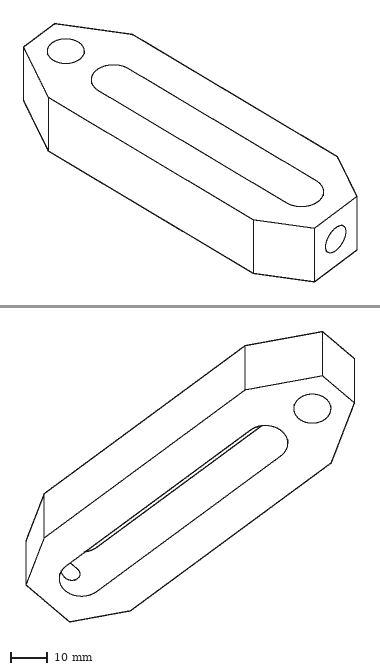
import cadquery as cq
import math

length = 110.0
width = 35.0
thickness = 20.0

bevel_angle = math.radians(30)
left_bevel_length = 19.0
right_bevel_length = 15.0

hole_diameter = 10.2
hole_from_left_end = 9.9

slot_width = 12.3
slot_left_margin = 21.5
slot_right_margin = 6.6

end_hole_diameter = 8.5

left_end = -length / 2
right_end = length / 2


def bevelled_block():
    """Bar with its four vertical corners cut at the bevel angle."""
    half_width = width / 2
    left_face_half = half_width - left_bevel_length * math.tan(bevel_angle)
    right_face_half = half_width - right_bevel_length * math.tan(bevel_angle)
    outline = [
        (left_end, -left_face_half),
        (left_end + left_bevel_length, -half_width),
        (right_end - right_bevel_length, -half_width),
        (right_end, -right_face_half),
        (right_end, right_face_half),
        (right_end - right_bevel_length, half_width),
        (left_end + left_bevel_length, half_width),
        (left_end, left_face_half),
    ]
    return cq.Workplane("XY").polyline(outline).close().extrude(thickness)


def pivot_hole():
    """Round through hole near the left end."""
    hole_x = left_end + hole_from_left_end
    return cq.Workplane("XY").center(hole_x, 0).circle(hole_diameter / 2).extrude(thickness)


def adjustment_slot():
    """Round-ended slot running through the full thickness."""
    slot_length = length - slot_left_margin - slot_right_margin
    slot_x = (slot_left_margin - slot_right_margin) / 2
    return cq.Workplane("XY").center(slot_x, 0).slot2D(slot_length, slot_width).extrude(thickness)


def end_hole():
    """Hole along X at mid thickness, joining the right end face to the slot."""
    hole_depth = slot_right_margin + slot_width / 2
    return (
        cq.Workplane("YZ", origin=(right_end - hole_depth, 0, thickness / 2))
        .circle(end_hole_diameter / 2)
        .extrude(hole_depth)
    )


result = bevelled_block().cut(pivot_hole()).cut(adjustment_slot()).cut(end_hole())